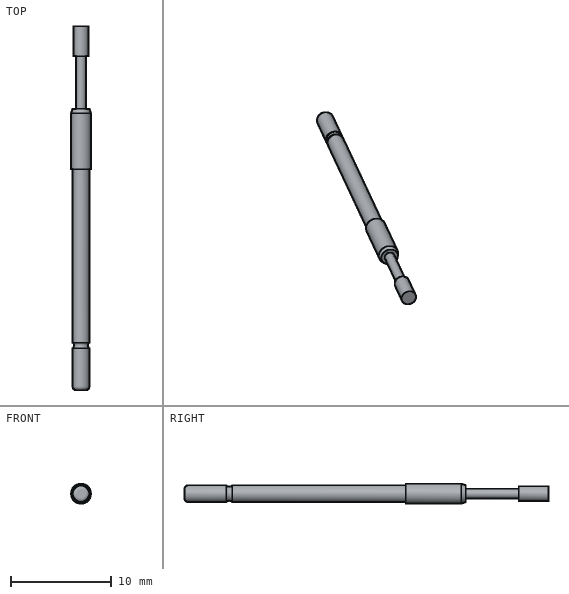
import cadquery as cq

total_length = 36.3

barrel_diameter = 1.7
tail_round = 0.4
groove_start = 4.2
groove_width = 0.55
groove_rim_diameter = 1.6
groove_waist_diameter = 1.43

collar_diameter = 2.0
collar_length = 6.0
collar_bevel_length = 0.45
collar_nose_diameter = 1.7

neck_diameter = 1.0
neck_length = 5.25
head_diameter = 1.5
head_length = 3.0

head_start = total_length - head_length
neck_start = head_start - neck_length
collar_start = neck_start - collar_length
tail_y = -total_length / 2


def rod(diameter, start, length):
    """Round bar along +Y, starting at a distance from the tail end."""
    plane = cq.Workplane("XZ", origin=(0, tail_y + start, 0))
    return plane.circle(diameter / 2).extrude(-length)


def make_groove_cutter():
    """Ring that cuts the shallow groove: two low walls with a hollow, rounded floor between them."""
    rear_y = tail_y + groove_start
    front_y = rear_y + groove_width
    middle_y = (rear_y + front_y) / 2
    rim_radius = groove_rim_diameter / 2
    outer_radius = collar_diameter / 2
    profile = (
        cq.Workplane("YZ")
        .moveTo(rear_y, outer_radius)
        .lineTo(rear_y, rim_radius)
        .threePointArc((middle_y, groove_waist_diameter / 2), (front_y, rim_radius))
        .lineTo(front_y, outer_radius)
        .close()
    )
    return profile.revolve(360, (0, 0, 0), (1, 0, 0))


def make_barrel():
    """Long cylinder with a rounded tail and one groove."""
    barrel = rod(barrel_diameter, 0, collar_start).faces("<Y").edges().fillet(tail_round)
    return barrel.cut(make_groove_cutter())


def make_collar():
    """Wider sleeve section, bevelled at its front end."""
    bevel_depth = (collar_diameter - collar_nose_diameter) / 2
    collar = rod(collar_diameter, collar_start, collar_length)
    return collar.faces(">Y").edges().chamfer(collar_bevel_length, bevel_depth)


def make_plunger():
    """Slim neck carrying a flat-ended cylindrical head."""
    neck = rod(neck_diameter, neck_start, neck_length)
    head = rod(head_diameter, head_start, head_length)
    return neck.union(head)


result = make_barrel().union(make_collar()).union(make_plunger())